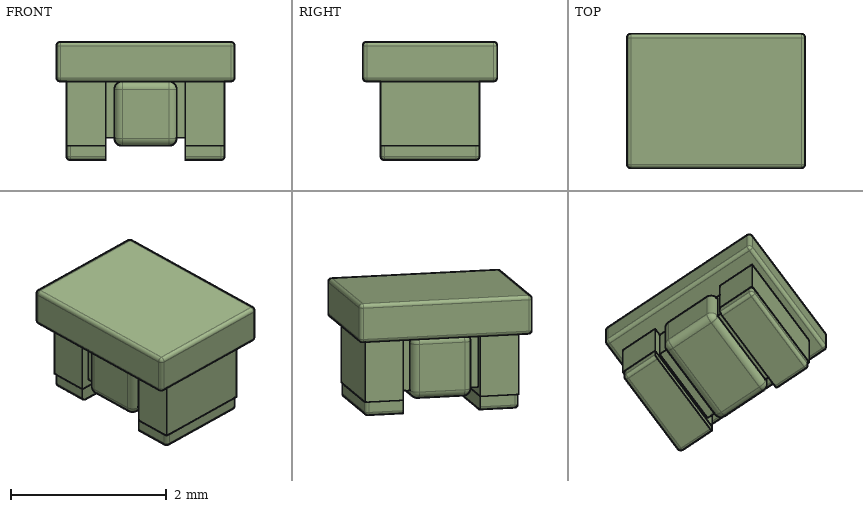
import cadquery as cq

total_height = 1.52

cap_length = 2.29
cap_width = 1.73
cap_thickness = 0.51
edge_radius = 0.05
cap_bottom = total_height - cap_thickness

leg_span = 2.034
leg_length = 0.508
leg_width = 1.273
terminal_height = 0.183
leg_height = cap_bottom - terminal_height
leg_offset = (leg_span - leg_length) / 2

coil_length = 0.802
coil_wall = 0.103
coil_radius = 0.1
coil_height = cap_bottom - terminal_height
core_length = leg_span - 2 * leg_length
core_width = leg_width - 2 * coil_wall
core_bottom = terminal_height + coil_wall
core_height = cap_bottom - core_bottom


def block(length, width, height, bottom, center_x=0):
    """Rectangular block centred on Y, standing on the height `bottom`."""
    base = cq.Workplane("XY").workplane(offset=bottom).center(center_x, 0)
    return base.rect(length, width).extrude(height)


def make_cap():
    """Plate with every edge rounded."""
    return block(cap_length, cap_width, cap_thickness, cap_bottom).edges().fillet(edge_radius)


def make_core():
    """Plain bar between the legs, reaching up to the cap."""
    return block(core_length, core_width, core_height, core_bottom)


def make_coil(core):
    """Rounded block that wraps the front, back and underside of the core."""
    outer = block(coil_length, leg_width, coil_height, terminal_height).edges().fillet(coil_radius)
    return outer.cut(core)


def make_leg(side):
    """Plain leg at one end; side is -1 or +1 along X."""
    return block(leg_length, leg_width, leg_height, terminal_height, side * leg_offset)


def make_terminal(side):
    """Pad under one leg, rounded at the outer corners and along the outer bottom edges."""
    pad = block(leg_length, leg_width, terminal_height, 0, side * leg_offset)
    outer_face = ">X" if side > 0 else "<X"
    outer_edges = pad.faces(outer_face).edges("|Z or <Z")
    return outer_edges.add(pad.faces("<Z").edges("|X")).fillet(edge_radius)


cap = make_cap()
core = make_core()
coil = make_coil(core)
legs = [make_leg(side) for side in (-1, 1)]
terminals = [make_terminal(side) for side in (-1, 1)]

bodies = [cap, core, coil, *legs, *terminals]
result = cq.Compound.makeCompound([body.val() for body in bodies])